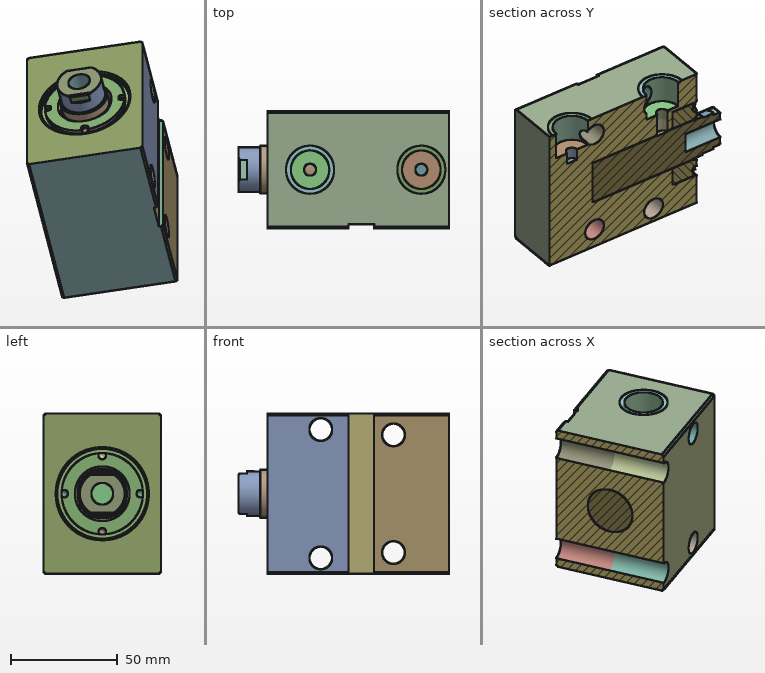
import cadquery as cq
import math

length = 85.0
width = 55.0
height = 75.0
edge_chamfer = 1.0

slot_start = 38.0
slot_width = 12.0
slot_depth = 2.0

mount_hole_dia = 10.5
mount_hole_rows = [(25.0, 30.0), (59.0, 27.5)]

port_positions = [20.0, 72.0]
port_dia = 18.0
port_depth = 14.0
spotface_dia = 22.5
spotface_depth = 0.1
feed_dia = 5.6
feed_depth = 6.0

gland_dia = 42.0
gland_length = 14.0
gland_seat_chamfer = 0.8
gland_face_dia = 38.0
gland_rim_setback = 2.0
gland_mouth_dia = 25.6
gland_mouth_depth = 2.0
gland_throat_dia = 23.2
pin_hole_dia = 3.5
pin_hole_radius = 17.8
pin_hole_count = 4
pin_hole_depth = 1.6
drill_point_angle = 118.0

rod_dia = 22.5
rod_inner_end = 60.0
collar_protrusion = 3.1
shoulder_cone_length = 0.4
nose_dia = 21.0
nose_protrusion = 13.5
flat_across = 19.0
flat_length = 4.0
flat_edge_chamfer = 0.7
rod_hole_dia = 10.2
rod_hole_depth = 20.0


def x_cylinder(diameter, start, end):
    """Solid cylinder about the X axis between two X positions."""
    return cq.Workplane("YZ", origin=(start, 0, 0)).circle(diameter / 2).extrude(end - start)


def x_revolve(points):
    """Solid turned about the X axis from an (x, radius) outline."""
    return cq.Workplane("XY").polyline(points).close().revolve(360, (0, 0, 0), (1, 0, 0))


def make_housing():
    body = cq.Workplane("XY").box(length, width, height).translate((length / 2, 0, 0))
    body = body.edges("|X").chamfer(edge_chamfer)

    slot = cq.Workplane("XY").box(slot_width, 2 * slot_depth, height)
    body = body.cut(slot.translate((slot_start + slot_width / 2, -width / 2, 0)))

    hole_centres = [(x, side * z) for x, z in mount_hole_rows for side in (-1, 1)]
    holes = cq.Workplane("XZ").pushPoints(hole_centres).circle(mount_hole_dia / 2)
    body = body.cut(holes.extrude(width / 2, both=True))

    top = height / 2
    for dia, depth in [
        (spotface_dia, spotface_depth),
        (port_dia, port_depth),
        (feed_dia, port_depth + feed_depth),
    ]:
        centres = [(x, 0) for x in port_positions]
        drill = cq.Workplane("XY", origin=(0, 0, top)).pushPoints(centres).circle(dia / 2)
        body = body.cut(drill.extrude(-depth))

    front_feed = cq.Workplane("XY", origin=(port_positions[0], 0, 0)).circle(feed_dia / 2)
    body = body.cut(front_feed.extrude(top - port_depth))

    seat_radius = gland_dia / 2
    seat_mouth = x_revolve([
        (0, 0),
        (0, seat_radius + gland_seat_chamfer),
        (gland_seat_chamfer, seat_radius),
        (gland_length, seat_radius),
        (gland_length, 0),
    ])
    return body.cut(seat_mouth).cut(x_cylinder(rod_dia, 0, rod_inner_end))


def make_gland():
    ring = x_revolve([
        (0, gland_mouth_dia / 2),
        (0, gland_face_dia / 2),
        (gland_rim_setback, gland_face_dia / 2),
        (gland_rim_setback, gland_dia / 2),
        (gland_length, gland_dia / 2),
        (gland_length, rod_dia / 2),
        (gland_mouth_depth, rod_dia / 2),
        (gland_mouth_depth, gland_throat_dia / 2),
    ])

    pin_radius = pin_hole_dia / 2
    point_length = pin_radius / math.tan(math.radians(drill_point_angle / 2))
    pin_hole = x_revolve([
        (0, 0),
        (0, pin_radius),
        (pin_hole_depth, pin_radius),
        (pin_hole_depth + point_length, 0),
    ]).translate((0, pin_hole_radius, 0))
    for i in range(pin_hole_count):
        ring = ring.cut(pin_hole.rotate((0, 0, 0), (1, 0, 0), i * 360 / pin_hole_count))
    return ring


def make_rod():
    shaft = x_revolve([
        (-nose_protrusion, 0),
        (-nose_protrusion, nose_dia / 2),
        (-collar_protrusion - shoulder_cone_length, nose_dia / 2),
        (-collar_protrusion, rod_dia / 2),
        (rod_inner_end, rod_dia / 2),
        (rod_inner_end, 0),
    ])

    half_flat = flat_across / 2
    flat_profile = [
        (-nose_protrusion, half_flat - flat_edge_chamfer),
        (-nose_protrusion + flat_edge_chamfer, half_flat),
        (-nose_protrusion + flat_length, half_flat),
        (-nose_protrusion + flat_length, nose_dia),
        (-nose_protrusion, nose_dia),
    ]
    flat_cut = cq.Workplane("XZ").polyline(flat_profile).close().extrude(nose_dia, both=True)
    shaft = shaft.cut(flat_cut).cut(flat_cut.mirror("XY"))

    return shaft.cut(x_cylinder(rod_hole_dia, -nose_protrusion, rod_hole_depth - nose_protrusion))


housing = make_housing()
gland = make_gland()
rod = make_rod()

result = cq.Compound.makeCompound([housing.val(), gland.val(), rod.val()])